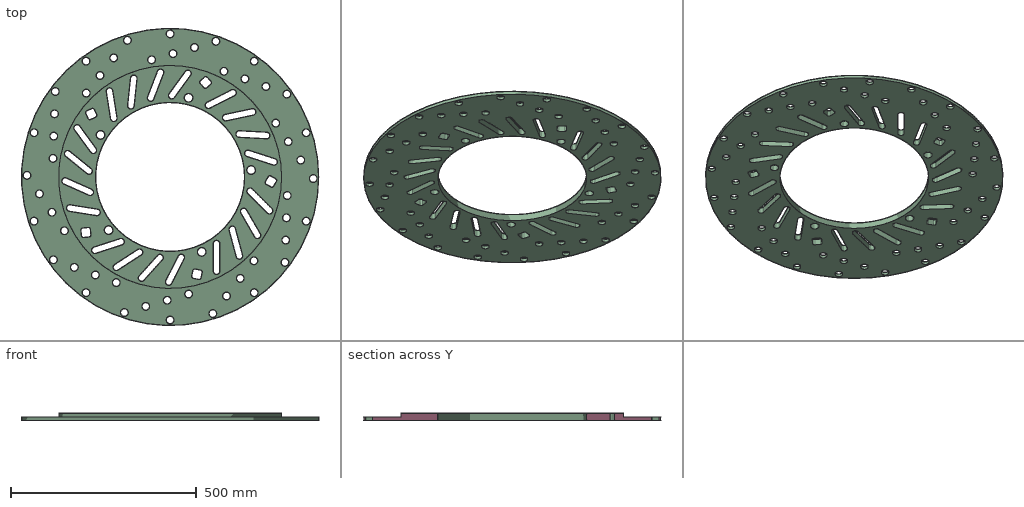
import cadquery as cq
import math

outer_diameter = 800.0
step_diameter = 600.0
bore_diameter = 400.0
plate_thickness = 10.0
total_height = 20.0

sector_count = 5
sector_angle = 360.0 / sector_count
rim_group_count = 2 * sector_count
rim_group_angle = 360.0 / rim_group_count

rim_hole_diameter = 20.0
rim_hole_radius = 385.0
rim_hole_angle = rim_group_angle / 2
row_center_radius = 342.0
row_center_angle = 11.85
row_tilt = -67.8
row_hole_count = 4
row_pitch = 60.0

slot_center_radius = 250.0
slot_first_angle = 12.0
slot_pitch_angle = 15.0
slots_per_sector = 4
slot_tilt = -30.0
slot_length = 91.0
slot_width = 17.0

hole_line_angle = 0.0
round_hole_diameter = 22.5
square_hole_side = 25.0
square_corner_radius = 5.0
round_hole_offset = -(slot_length - slot_width) / 2
square_hole_offset = (slot_length - slot_width - square_hole_side) / 2


def polar_point(radius, angle):
    """Point at a radius and an angle in degrees about the ring axis."""
    return (radius * math.cos(math.radians(angle)), radius * math.sin(math.radians(angle)))


def tilted_line_point(center_radius, center_angle, tilt, offset):
    """Point on a line tilted from the radial line, at an offset from the line's centre."""
    center_x, center_y = polar_point(center_radius, center_angle)
    offset_x, offset_y = polar_point(offset, center_angle + tilt)
    return (center_x + offset_x, center_y + offset_y)


def make_ring():
    plate = cq.Workplane("XY").circle(outer_diameter / 2).extrude(plate_thickness)
    raised = cq.Workplane("XY").circle(step_diameter / 2).extrude(total_height)
    bore = cq.Workplane("XY").circle(bore_diameter / 2).extrude(total_height)
    return plate.union(raised).cut(bore)


def cut_round_holes(body, points, diameter):
    cutters = cq.Workplane("XY").pushPoints(points).circle(diameter / 2).extrude(total_height)
    return body.cut(cutters)


def hole_row(center_angle):
    """Centres of one straight row of holes, tilted from the radial line."""
    first_offset = -(row_hole_count - 1) * row_pitch / 2
    return [
        tilted_line_point(row_center_radius, center_angle, row_tilt, first_offset + index * row_pitch)
        for index in range(row_hole_count)
    ]


def rim_hole_points():
    points = []
    for group in range(rim_group_count):
        group_start = group * rim_group_angle
        points.append(polar_point(rim_hole_radius, group_start + rim_hole_angle))
        points.extend(hole_row(group_start + row_center_angle))
    return points


def cut_slots(body):
    for sector in range(sector_count):
        for index in range(slots_per_sector):
            angle = sector * sector_angle + slot_first_angle + index * slot_pitch_angle
            slot = (
                cq.Workplane("XY")
                .center(*polar_point(slot_center_radius, angle))
                .slot2D(slot_length, slot_width, angle + slot_tilt)
                .extrude(total_height)
            )
            body = body.cut(slot)
    return body


def hole_line_point(line_angle, offset):
    return tilted_line_point(slot_center_radius, line_angle, slot_tilt, offset)


def cut_square_holes(body, line_angles):
    for angle in line_angles:
        center_x, center_y = hole_line_point(angle, square_hole_offset)
        square = (
            cq.Workplane("XY")
            .rect(square_hole_side, square_hole_side)
            .extrude(total_height)
            .edges("|Z")
            .fillet(square_corner_radius)
            .rotate((0, 0, 0), (0, 0, 1), angle + slot_tilt)
            .translate((center_x, center_y, 0))
        )
        body = body.cut(square)
    return body


hole_line_angles = [sector * sector_angle + hole_line_angle for sector in range(sector_count)]
round_hole_points = [hole_line_point(angle, round_hole_offset) for angle in hole_line_angles]

ring = make_ring()
ring = cut_round_holes(ring, rim_hole_points(), rim_hole_diameter)
ring = cut_round_holes(ring, round_hole_points, round_hole_diameter)
ring = cut_slots(ring)
result = cut_square_holes(ring, hole_line_angles)